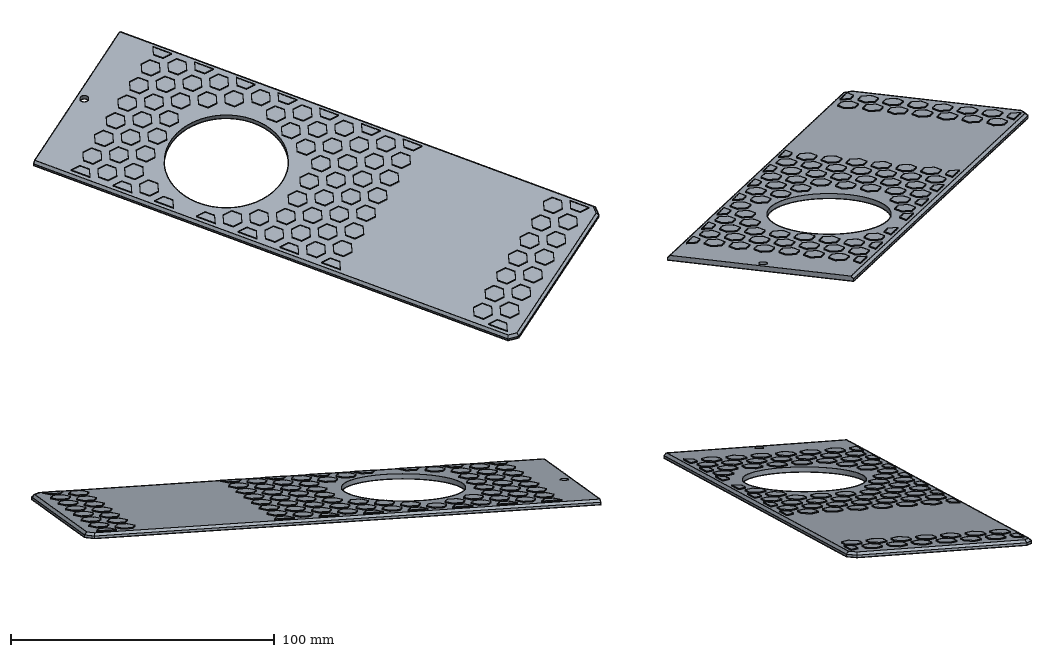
import cadquery as cq
import math

length = 203.6
width = 74.7
total_height = 2.5
bump_height = 0.5
plate_thickness = total_height - bump_height
bevel = 1.0
corner_cut = 3.0

window_diameter = 47.0
window_x = 65.4
window_y = -4.7
pin_hole_diameter = 3.3
pin_hole_x = 3.0

hex_flats = 7.0
hex_corners = hex_flats / math.cos(math.pi / 6)
first_column_x = 18.7
last_column_x = 195.0
column_steps = 20
column_pitch = (last_column_x - first_column_x) / column_steps
row_pitch = 10.0
rows_per_full_column = 7
pattern_width = rows_per_full_column * row_pitch
plain_columns = range(13, 19)


def make_plate():
    """Rectangular plate, clipped at the right corners and bevelled on three sides."""
    half_width = width / 2
    outline = [
        (0, -half_width),
        (length - corner_cut, -half_width),
        (length, -half_width + corner_cut),
        (length, half_width - corner_cut),
        (length - corner_cut, half_width),
        (0, half_width),
    ]
    plate = cq.Workplane("XY").polyline(outline).close().extrude(plate_thickness)
    return plate.faces(">Z").edges("not <X").chamfer(bevel)


def hexagon_centres():
    """Centres of all hexagons that stay clear of the round window."""
    clearance = (window_diameter + hex_corners) / 2
    centres = []
    for column in range(column_steps + 1):
        if column in plain_columns:
            continue
        x = first_column_x + column * column_pitch
        rows = rows_per_full_column + (column + 1) % 2
        for row in range(rows):
            y = (row - (rows - 1) / 2) * row_pitch
            if math.hypot(x - window_x, y - window_y) > clearance:
                centres.append((x, y))
    return centres


def make_bumps():
    """Raised hexagons, rooted at the plate bottom and trimmed to the pattern width."""
    hexagons = (
        cq.Workplane("XY")
        .pushPoints(hexagon_centres())
        .polygon(6, hex_corners)
        .extrude(total_height)
    )
    pattern_area = cq.Workplane("XY").box(
        length, pattern_width, total_height, centered=(False, True, False)
    )
    return hexagons.intersect(pattern_area)


def make_hole(x, y, diameter):
    """Cylinder that cuts through the whole height."""
    return cq.Workplane("XY").center(x, y).circle(diameter / 2).extrude(total_height)


result = (
    make_plate()
    .union(make_bumps())
    .cut(make_hole(window_x, window_y, window_diameter))
    .cut(make_hole(pin_hole_x, 0, pin_hole_diameter))
)